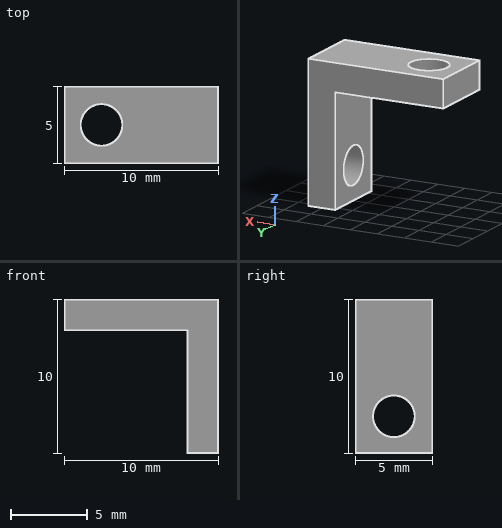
import cadquery as cq

leg_length = 10.0
width = 5.0
thickness = 2.0
hole_diameter = 2.7
hole_end_distance = 2.4

top_leg = (
    cq.Workplane("XY")
    .box(leg_length, width, thickness, centered=(False, True, False))
    .translate((0, 0, leg_length - thickness))
)

upright_leg = (
    cq.Workplane("XY")
    .box(thickness, width, leg_length, centered=(False, True, False))
    .translate((leg_length - thickness, 0, 0))
)

top_hole = (
    cq.Workplane("XY", origin=(hole_end_distance, 0, leg_length - thickness))
    .circle(hole_diameter / 2)
    .extrude(thickness)
)
upright_hole = (
    cq.Workplane("YZ", origin=(leg_length - thickness, 0, hole_end_distance))
    .circle(hole_diameter / 2)
    .extrude(thickness)
)

result = top_leg.union(upright_leg).cut(top_hole).cut(upright_hole)